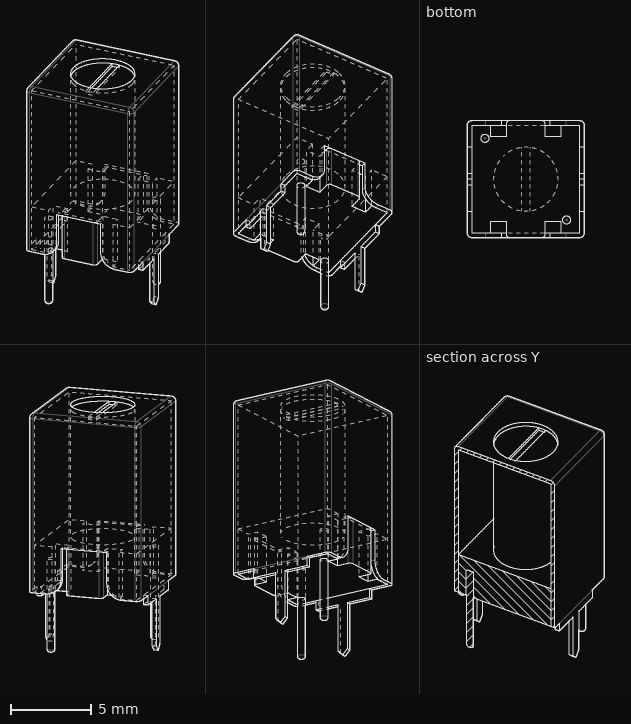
import cadquery as cq

can_side = 7.3
can_height = 11.5
wall = 0.3
inner_side = can_side - 2 * wall
inner_height = can_height - wall
lead_length = 4.0

window_width = 3.0
window_height = 3.0
window_flare = 1.0

tab_width = 4.0
tab_shoulder = 0.6
tab_stem_width = 0.7
tab_point = tab_stem_width / 2

core_diameter = 4.0
slot_width = 0.5
slot_depth = 0.2

base_height = window_height
tongue_width = 2.4
tongue_round = 0.22
pocket_width = 4.4
pocket_depth = 0.7

pin_diameter = 0.5
pin_offset = 2.54
pin_embed = 2.0
pin_tip_round = 0.2


def make_window_cutter():
    """Bar along Y with the window outline, flared in arcs at the rim."""
    half = window_width / 2
    flared_half = half + window_flare
    return (
        cq.Workplane("XZ")
        .moveTo(-flared_half, 0)
        .radiusArc((-half, window_flare), -window_flare)
        .lineTo(-half, window_height)
        .lineTo(half, window_height)
        .lineTo(half, window_flare)
        .radiusArc((flared_half, 0), -window_flare)
        .close()
        .extrude(can_side, both=True)
    )


def make_tab(lower_x):
    """Pointed tab, one wall thick, whose lower-X face is at lower_x."""
    stem = tab_stem_width / 2
    shoulder = tab_width / 2
    return (
        cq.Workplane("YZ", origin=(lower_x, 0, 0))
        .polyline([
            (-shoulder, 0),
            (-shoulder, -tab_shoulder),
            (-stem, -tab_shoulder),
            (-stem, tab_point - lead_length),
            (0, -lead_length),
            (stem, tab_point - lead_length),
            (stem, -tab_shoulder),
            (shoulder, -tab_shoulder),
            (shoulder, 0),
        ])
        .close()
        .extrude(wall)
    )


def make_can():
    """Open-bottomed can with a lid hole, two windows and two tabs."""
    body = (
        cq.Workplane("XY")
        .rect(can_side, can_side)
        .extrude(can_height)
        .edges("|Z or >Z")
        .fillet(wall)
    )
    cavity = cq.Workplane("XY").rect(inner_side, inner_side).extrude(inner_height)
    lid_hole = cq.Workplane("XY").circle(core_diameter / 2).extrude(can_height)
    body = body.cut(cavity).cut(lid_hole).cut(make_window_cutter())
    for lower_x in (-can_side / 2, inner_side / 2):
        body = body.union(make_tab(lower_x), clean=False)
    return body


def make_pins():
    """Two pins with rounded tips, set into the base from below."""
    pins = []
    for side in (-1, 1):
        pin = (
            cq.Workplane("XY", origin=(side * pin_offset, side * pin_offset, -lead_length))
            .circle(pin_diameter / 2)
            .extrude(lead_length + pin_embed)
            .faces("<Z")
            .fillet(pin_tip_round)
        )
        pins.append(pin)
    return pins


def make_base(pins):
    """Block in the lower can, with a tongue standing in a pocket at each window, and pin holes."""
    block = cq.Workplane("XY").rect(inner_side, inner_side).extrude(base_height)
    pocket_center = inner_side / 2 - pocket_depth / 2
    pockets = (
        cq.Workplane("XY")
        .pushPoints([(0, -pocket_center), (0, pocket_center)])
        .rect(pocket_width, pocket_depth)
        .extrude(base_height)
    )
    tongues = (
        cq.Workplane("XY")
        .rect(tongue_width, can_side)
        .extrude(base_height)
        .edges("|Z")
        .fillet(tongue_round)
    )
    base = block.cut(pockets).union(tongues)
    for pin in pins:
        base = base.cut(pin)
    return base


def make_core():
    """Cylinder standing on the base, with a screwdriver slot along Y."""
    cylinder = (
        cq.Workplane("XY", origin=(0, 0, base_height))
        .circle(core_diameter / 2)
        .extrude(inner_height - base_height)
    )
    slot = (
        cq.Workplane("XY", origin=(0, 0, inner_height - slot_depth))
        .rect(slot_width, core_diameter)
        .extrude(slot_depth)
    )
    return cylinder.cut(slot)


can = make_can()
pins = make_pins()
base = make_base(pins)
core = make_core()

result = cq.Compound.makeCompound([
    can.val(),
    base.val(),
    core.val(),
    *[pin.val() for pin in pins],
])